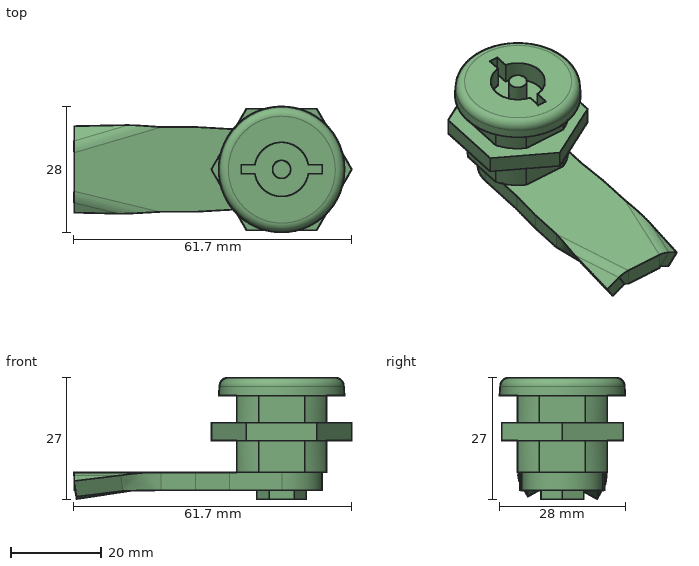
import cadquery as cq
import math


flange_diameter = 28.0
flange_seam_diameter = 27.7
flange_face_diameter = 23.75
flange_height = 4.0
flange_round_height = 2.0
barrel_flats = 20.0
barrel_diameter = 22.45
barrel_height = 17.0
nut_across_flats = 27.0
nut_height = 4.0
nut_base = 7.0
key_diameter = 12.0
key_depth = 5.0
key_pin_diameter = 4.0
slot_length = 18.0
slot_width = 2.05
shank_diameter = 6.0
bolt_head_corners = 11.05
bolt_head_height = 2.0

cam_thickness = 4.0
cam_end_radius = 9.0
cam_reach = 46.05
cam_neck_x = -11.65
cam_shoulder_x = -19.1
cam_shoulder_half_width = 9.45
fold_end_x = -26.8
fold_angle = 30.0
fold_inner_radius = 1.0
fold_outer_radius = fold_inner_radius + cam_thickness
wing_tip_half_width = 9.6
wing_heel_half_width = 9.85
flat_tip_left = 3.75
flat_tip_right = 4.8

lock_top = barrel_height + flange_height
across_corners_ratio = 2 / math.sqrt(3)


def make_flange():
    """Slightly drafted disc with a rounded upper rim."""
    seam_z = lock_top - flange_round_height
    rim_radius = flange_seam_diameter / 2
    face_radius = flange_face_diameter / 2
    bulge = math.sqrt(0.5)
    rim_middle = (
        face_radius + (rim_radius - face_radius) * bulge,
        seam_z + flange_round_height * bulge,
    )
    return (
        cq.Workplane("XZ")
        .moveTo(0, barrel_height)
        .lineTo(flange_diameter / 2, barrel_height)
        .lineTo(rim_radius, seam_z)
        .threePointArc(rim_middle, (face_radius, lock_top))
        .lineTo(0, lock_top)
        .close()
        .revolve(360, (0, 0), (0, 1))
    )


def make_barrel():
    """Round barrel with four flats."""
    square = cq.Workplane("XY").rect(barrel_flats, barrel_flats).extrude(barrel_height)
    return cq.Workplane("XY").circle(barrel_diameter / 2).extrude(barrel_height).intersect(square)


def make_nut():
    return (
        cq.Workplane("XY", origin=(0, 0, nut_base))
        .polygon(6, nut_across_flats * across_corners_ratio)
        .extrude(nut_height)
    )


def make_bolt():
    """Shank through the cam with a hexagon head below it."""
    shank = cq.Workplane("XY").circle(shank_diameter / 2).extrude(-cam_thickness)
    head = (
        cq.Workplane("XY", origin=(0, 0, -cam_thickness))
        .polygon(6, bolt_head_corners)
        .extrude(-bolt_head_height)
    )
    return shank.union(head)


def make_keyway():
    """Round key recess with two side slots around a standing pin."""
    face = cq.Workplane("XY", origin=(0, 0, lock_top))
    recess = face.circle(key_diameter / 2).extrude(-key_depth)
    slot = face.rect(slot_length, slot_width).extrude(-key_depth)
    pin = face.circle(key_pin_diameter / 2).extrude(-key_depth)
    return recess.union(slot).cut(pin)


def make_lock():
    lock = make_barrel().union(make_flange()).union(make_nut()).union(make_bolt())
    return lock.cut(make_keyway())


def make_lever(left_tip, right_tip):
    """Flat part of the cam, bounded at the tip by the two fold lines."""
    return (
        cq.Workplane("XY")
        .moveTo(0, cam_end_radius)
        .lineTo(cam_neck_x, cam_end_radius)
        .lineTo(cam_shoulder_x, cam_shoulder_half_width)
        .lineTo(fold_end_x, cam_shoulder_half_width)
        .lineTo(-cam_reach, left_tip)
        .lineTo(-cam_reach, -right_tip)
        .lineTo(fold_end_x, -cam_shoulder_half_width)
        .lineTo(cam_shoulder_x, -cam_shoulder_half_width)
        .lineTo(cam_neck_x, -cam_end_radius)
        .lineTo(0, -cam_end_radius)
        .threePointArc((cam_end_radius, 0), (0, cam_end_radius))
        .close()
        .extrude(-cam_thickness)
    )


def make_wing(tip_half_width):
    """Fold and wing on the +Y side, for a fold line that starts at the given tip half width."""
    run = fold_end_x + cam_reach
    rise = cam_shoulder_half_width - tip_half_width
    slant = math.atan2(rise, run)
    fold_length = math.hypot(run, rise)
    bend = math.radians(fold_angle)
    along = cq.Vector(math.cos(slant), math.sin(slant), 0)
    outward = cq.Vector(-math.sin(slant), math.cos(slant), 0)
    up = cq.Vector(0, 0, 1)
    axis_start = cq.Vector(-cam_reach, tip_half_width, -fold_outer_radius)

    def fold_point(distance, radius, angle):
        """Point at a distance along the fold axis, on a radius turned down by an angle."""
        radial = outward * math.sin(angle) + up * math.cos(angle)
        return axis_start + along * distance + radial * radius

    fold_spread = fold_outer_radius * math.sin(bend)
    wing_start = fold_spread * math.tan(slant)
    heel_rise = wing_heel_half_width - tip_half_width - fold_spread * math.cos(slant)
    wing_stop = heel_rise / math.sin(slant)

    fold = (
        cq.Workplane(cq.Plane(origin=axis_start, xDir=along, normal=along.cross(up)))
        .moveTo(-fold_length, fold_inner_radius)
        .lineTo(2 * fold_length, fold_inner_radius)
        .lineTo(2 * fold_length, fold_outer_radius)
        .lineTo(-fold_length, fold_outer_radius)
        .close()
        .revolve(fold_angle, (0.6, 0), (0, 0))
    )
    trim_inner = fold_inner_radius / 2
    trim_outer = fold_outer_radius * 1.2

    def trim_section(start, stop, angle):
        corners = [
            fold_point(start, trim_inner, angle),
            fold_point(stop, trim_inner, angle),
            fold_point(stop, trim_outer, angle),
            fold_point(start, trim_outer, angle),
        ]
        return cq.Wire.makePolygon(corners, close=True)

    trim = cq.Solid.makeLoft(
        [trim_section(0, fold_length, 0), trim_section(wing_start, wing_stop, bend)], True
    )
    fold = fold.intersect(cq.Workplane(trim))

    wing_slope = outward * math.cos(bend) - up * math.sin(bend)
    wing_normal = outward * math.sin(bend) + up * math.cos(bend)
    tip_inner = fold_point(wing_start, fold_outer_radius, bend)
    heel = fold_point(wing_stop, fold_outer_radius, bend)
    tip_rise = wing_tip_half_width - tip_inner.y
    tip_outer = (
        tip_inner
        + along * (tip_rise * math.sin(slant))
        + wing_slope * (tip_rise * math.cos(slant) / math.cos(bend))
    )
    outline = cq.Wire.makePolygon([tip_inner, heel, tip_outer], close=True)
    wing = cq.Solid.extrudeLinear(outline, [], wing_normal * -cam_thickness)
    return fold.union(cq.Workplane(wing))


def make_cam():
    left_wing = make_wing(flat_tip_left)
    right_wing = make_wing(flat_tip_right).mirror("XZ")
    bolt_hole = cq.Workplane("XY").circle(shank_diameter / 2).extrude(-cam_thickness)
    cam = make_lever(flat_tip_left, flat_tip_right).union(left_wing).union(right_wing)
    return cam.cut(bolt_hole)


lock = make_lock()
cam = make_cam()
result = cq.Compound.makeCompound([lock.val(), cam.val()])